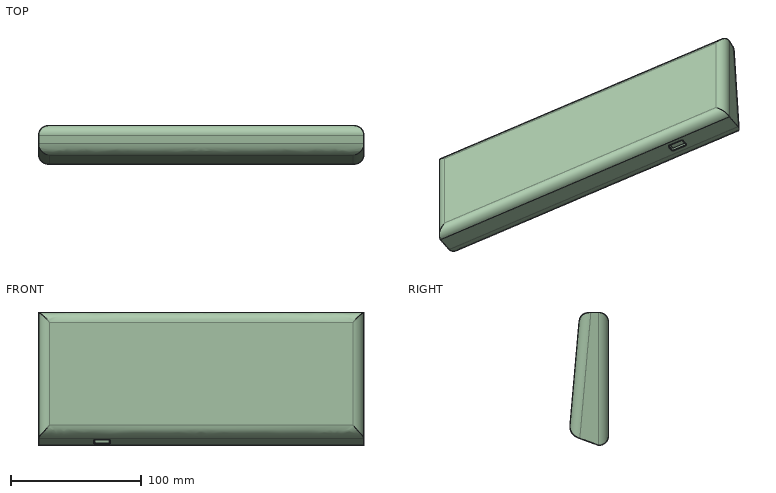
import cadquery as cq
import math

LENGTH = 250.0
HEIGHT = 102.23
TOP_DEPTH = 22.23
FRONT_TILT = math.radians(5.0)
BOTTOM_TILT = math.radians(20.0)

BACK_RADIUS = 7.7
SEAM_DEPTH = 8.5
TOP_MARGIN = 7.9
BOTTOM_MARGIN = 7.4

PORT_X = -76.2
PORT_Y = -14.9
OPENING_LENGTH = 11.4
OPENING_WIDTH = 6.4
OPENING_CORNER_RADIUS = 0.81
OPENING_CEILING_Z = 7.0
LEDGE_WIDTH = 0.7
LEDGE_DEPTH = 0.5

ENVELOPE_SIZE = 4 * HEIGHT

UP_THE_FRONT = (math.sin(FRONT_TILT), math.cos(FRONT_TILT))
BACK_ALONG_UNDERSIDE = (math.cos(BOTTOM_TILT), -math.sin(BOTTOM_TILT))


def underside_z(y):
    """Height of the sloping underside at y."""
    return (-BACK_RADIUS - y) * math.tan(BOTTOM_TILT)


def front_bottom_corner():
    """Sharp (y, z) corner where the front face meets the underside."""
    front_slope = math.tan(FRONT_TILT)
    bottom_slope = math.tan(BOTTOM_TILT)
    y_at_zero_height = -TOP_DEPTH - HEIGHT * front_slope
    y = (y_at_zero_height - front_slope * bottom_slope * BACK_RADIUS) / (1 + front_slope * bottom_slope)
    return y, underside_z(y)


def step(point, direction, distance):
    """Point reached by moving along a unit direction in the YZ plane."""
    return point[0] + distance * direction[0], point[1] + distance * direction[1]


def wedge():
    """Rounded wedge section, extruded over the full length."""
    bottom_corner = front_bottom_corner()
    underside_run = SEAM_DEPTH / math.cos(BOTTOM_TILT - FRONT_TILT)
    bottom_seam = step(bottom_corner, BACK_ALONG_UNDERSIDE, underside_run)
    panel_bottom = step(bottom_corner, UP_THE_FRONT, BOTTOM_MARGIN)

    top_corner = (-TOP_DEPTH, HEIGHT)
    top_seam = (-TOP_DEPTH + SEAM_DEPTH / math.cos(FRONT_TILT), HEIGHT)
    panel_top = step(top_corner, UP_THE_FRONT, -TOP_MARGIN)

    arc_inset = BACK_RADIUS * (1 - math.cos(math.radians(45)))
    return (
        cq.Workplane("YZ", origin=(-LENGTH / 2, 0, 0))
        .moveTo(-BACK_RADIUS, 0)
        .lineTo(*bottom_seam)
        .bezier([bottom_seam, bottom_corner, panel_bottom])
        .lineTo(*panel_top)
        .bezier([panel_top, top_corner, top_seam])
        .lineTo(-BACK_RADIUS, HEIGHT)
        .threePointArc((-arc_inset, HEIGHT - arc_inset), (0, HEIGHT - BACK_RADIUS))
        .lineTo(0, BACK_RADIUS)
        .threePointArc((-arc_inset, arc_inset), (-BACK_RADIUS, 0))
        .close()
        .extrude(LENGTH)
    )


def envelope(back_y, rounded_edges, radius):
    """Oversized block, as long as the housing and starting at y = back_y, with two rounded upright edges."""
    return (
        cq.Workplane("XY")
        .box(LENGTH, ENVELOPE_SIZE, ENVELOPE_SIZE, centered=(True, False, True))
        .translate((0, back_y, 0))
        .edges(rounded_edges)
        .fillet(radius)
    )


def round_ends(body):
    """Round the end edges: upright ones at the back, tilted ones along the front face."""
    back_envelope = envelope(-ENVELOPE_SIZE, "|Z and >Y", BACK_RADIUS)
    front_envelope = (
        envelope(0, "|Z and <Y", SEAM_DEPTH)
        .rotate((0, 0, 0), (1, 0, 0), -math.degrees(FRONT_TILT))
        .translate((0, -TOP_DEPTH, HEIGHT))
    )
    return body.intersect(back_envelope).intersect(front_envelope)


def port_prism(margin):
    """Upright prism with rounded corners: the port opening widened by a margin all around."""
    return (
        cq.Workplane("XY", origin=(PORT_X, PORT_Y, 0))
        .rect(OPENING_LENGTH + 2 * margin, OPENING_WIDTH + 2 * margin)
        .extrude(OPENING_CEILING_Z)
        .edges("|Z")
        .fillet(OPENING_CORNER_RADIUS + margin)
    )


def cut_port(body):
    """Cut the cable port: a recess of constant height, then the deep opening within it."""
    recess = port_prism(LEDGE_WIDTH).cut(body.translate((0, 0, LEDGE_DEPTH)))
    return body.cut(recess).cut(port_prism(0))


result = cut_port(round_ends(wedge()))